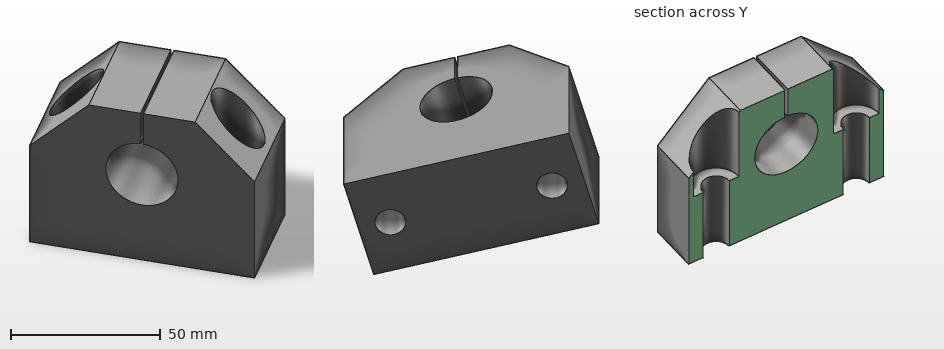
import cadquery as cq

length = 78.0
width = 38.0
height = 60.0
shoulder_chamfer = 20.6

bore_diameter = 25.0
bore_height = 35.0
slit_width = 1.0

screw_spacing = 56.0
screw_diameter = 10.3
head_diameter = 18.0
head_seat_height = 30.0


def make_block():
    block = cq.Workplane("XY").box(length, width, height, centered=(True, True, False))
    return block.edges("|Y and >Z").chamfer(shoulder_chamfer)


def make_shaft_bore():
    return (
        cq.Workplane("XZ")
        .center(0, bore_height)
        .circle(bore_diameter / 2)
        .extrude(width / 2, both=True)
    )


def make_slit():
    return (
        cq.Workplane("XY")
        .workplane(offset=bore_height)
        .rect(slit_width, width)
        .extrude(height - bore_height)
    )


def make_screw_hole(x):
    shank = cq.Workplane("XY").center(x, 0).circle(screw_diameter / 2).extrude(height)
    head = (
        cq.Workplane("XY", origin=(x, 0, head_seat_height))
        .circle(head_diameter / 2)
        .extrude(height - head_seat_height)
    )
    return shank.union(head)


result = make_block().cut(make_shaft_bore()).cut(make_slit())
for side in (-1, 1):
    result = result.cut(make_screw_hole(side * screw_spacing / 2))